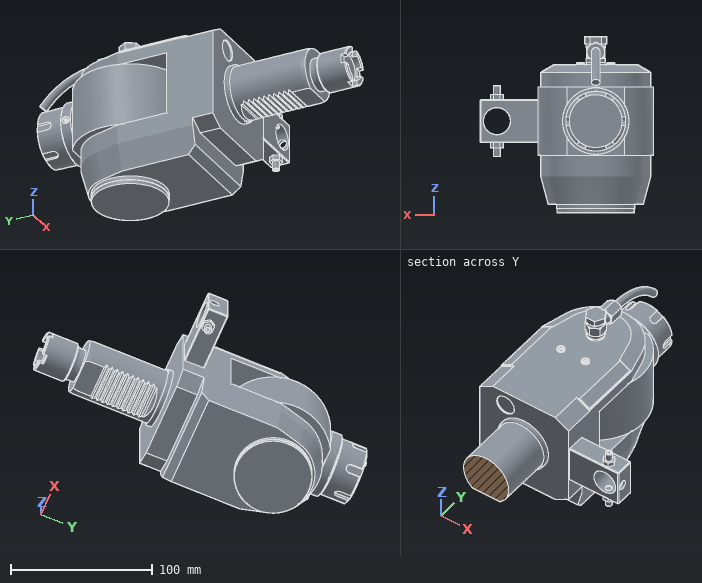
import cadquery as cq
import math


HALF_WIDTH = 39.0
TOP_Z = 40.0
PIVOT_Y = 86.0
NOSE_RADIUS = 35.0
TAPER_ANGLE = 15.0
BEVEL_ANGLE = 30.0
RIM_BEVEL_WIDTH = 9.8
STRIP_BEVEL_WIDTH = 9.1
STRIP_LEDGE_WIDTH = 0.6
STRIP_LEDGE_Z = 33.9
STRIP_START_Y = 26.0
STRIP_END_Y = 74.6
FRONT_BEVEL_WIDTH = 11.6
FRONT_BEVEL_LENGTH = 25.5
LOWER_START_Z = -39.3
LOWER_END_Z = -59.0
LOWER_FRONT_Y = 16.0
LOWER_CHAMFER = 6.0
WINDOW_FRONT_Y = 37.0
WINDOW_HALF_HEIGHT = 24.2
HEAD_RADIUS = 41.0
HEAD_REAR_Y = 121.5
PLUG_X = -16.3
PLUG_Z = 27.8
PLUG_RADIUS = 7.7
PLUG_RECESS = 1.0
CAP_RADIUS = 27.8
CAP_END_Z = -65.0
CAP_STEP_Z = -62.0
CAP_STEP = 0.3

SCREW_X = 10.75
SCREW_Y = 59.0
SCREW_RADIUS = 3.0
SCREW_HEIGHT = 1.6
SCREW_CHAMFER = 0.6
SCREW_SOCKET_FLATS = 2.5

FLANGE_RADIUS = 21.4
FLANGE_END_Y = -3.6
SHANK_RADIUS = 20.0
SHANK_END_Y = -63.4
SHANK_CHAMFER_LENGTH = 3.2
SHANK_CHAMFER_DEPTH = 0.6
NECK_RADIUS = 12.1
NECK_FLARE_Y = -67.0
NECK_FLARE_RADIUS = 12.9
DRIVE_START_Y = -69.8
DRIVE_END_Y = -93.0
DRIVE_RADIUS = 14.5
DRIVE_CHAMFER = 0.8
DRIVE_BORE_RADIUS = 10.2
DRIVE_BORE_DEPTH = 5.0
DRIVE_SLOT_WIDTH = 6.9
DRIVE_SLOT_DEPTH = 3.4
FLAT_Z = -16.0
FLAT_START_Y = -8.7
FLAT_RUNOUT_Y = -4.5
TOOTH_PITCH = 4.0
TOOTH_COUNT = 10
TOOTH_DEPTH = 1.5
FIRST_TOOTH_Y = -11.7

COLLAR_RADIUS = 23.5
COLLAR_END_Y = 129.3
GROOVE_RADIUS = 20.0
NUT_START_Y = 130.5
NUT_RADIUS = 21.2
NUT_END_Y = 150.5
NUT_CHAMFER_LENGTH = 1.3
NUT_CHAMFER_DEPTH = 2.5
NUT_SLOT_COUNT = 6
NUT_SLOT_WIDTH = 6.0
NUT_SLOT_END_Y = 138.2
NUT_SLOT_DEPTH = 2.5
SET_SCREW_Y = 125.4
SET_SCREW_RADIUS = 2.7
SET_SCREW_RECESS = 0.6
SET_SCREW_SOCKET_RADIUS = 1.2
SET_SCREW_SOCKET_DEPTH = 2.0

BRACKET_END_X = 82.0
BRACKET_FRONT_Y = 1.0
BRACKET_THICKNESS = 15.3
BRACKET_HALF_HEIGHT = 15.2
BRACKET_BORE_X = 70.0
BRACKET_BORE_RADIUS = 9.5
BRACKET_CROSS_RADIUS = 3.4
BRACKET_CHAMFER = 0.6
STUD_Y = 6.0
STUD_RADIUS = 2.5
STUD_END_Z = 25.1
STUD_NUT_FLATS = 8.0
STUD_NUT_HEIGHT = 3.7
STUD_SOCKET_FLATS = 2.5
STUD_SOCKET_DEPTH = 2.0
STUD_HOLE_END = 10.4

FITTING_TOP_Z = 59.9
FITTING_HEAD_Z = 54.7
FITTING_HEAD_FLATS = 13.6
FITTING_NECK_RADIUS = 6.9
FITTING_FOOT_RADIUS = 6.6
FITTING_FOOT_Z = 41.5
BANJO_FLATS = 13.4
BANJO_BOTTOM_Z = 44.4
BANJO_TOP_Z = 52.3
HEXAGON_CHAMFER = 0.8
PIPE_Z = 49.0
UNION_RADIUS = 5.2
UNION_START_Y = 96.8
UNION_END_Y = 109.1
UNION_FLATS = 12.2
PIPE_RADIUS = 3.1
PIPE_BEND_Y = 111.0
PIPE_BEND_ANGLE = 48.0
PIPE_TIP_LENGTH = 4.0
PIPE_TIP_Y = 157.67

MARGIN = 10.0
CLEARANCE = 1.0


def block(x_range, y_range, z_range):
    """Box given by its limits along each axis."""
    size = [limits[1] - limits[0] for limits in (x_range, y_range, z_range)]
    corner = (x_range[0], y_range[0], z_range[0])
    return cq.Workplane("XY").box(*size, centered=False).translate(corner)


def disc(radius, start, end, axis="Z", centre=(0.0, 0.0, 0.0)):
    """Cylinder along an axis, from start to end on that axis, through the centre point."""
    direction = cq.Vector(*[1.0 if name == axis else 0.0 for name in "XYZ"])
    base = cq.Vector(*centre) + direction * start
    return cq.Workplane(cq.Solid.makeCylinder(radius, end - start, base, direction))


def hexagon(flats, start, end, corner_angle):
    """Hexagonal prism along Z, with a corner at the given angle from X."""
    across_corners = flats / math.cos(math.radians(30))
    prism = cq.Workplane("XY").workplane(offset=start).polygon(6, across_corners).extrude(end - start)
    return prism.rotate((0, 0, 0), (0, 0, 1), corner_angle)


def chamfered_hexagon(flats, start, end, corner_angle):
    """Hexagonal prism along Z with its corners turned down at both ends."""
    envelope = disc(flats / 2 / math.cos(math.radians(30)), start, end)
    envelope = envelope.faces("<Z or >Z").chamfer(HEXAGON_CHAMFER)
    return hexagon(flats, start, end, corner_angle).intersect(envelope)


def turned(profile):
    """Solid turned about the Y axis from (radius, y) points; both ends close on the axis."""
    points = [(0.0, profile[0][1])] + profile + [(0.0, profile[-1][1])]
    return cq.Workplane("XY").polyline(points).close().revolve(360, (0, 0, 0), (0, 1, 0))


def housing_layer(start, height, taper):
    """Housing outline extruded from a height; the front is left long so it can be trimmed square."""
    angle = math.radians(TAPER_ANGLE)
    tangent_x = NOSE_RADIUS * math.cos(angle)
    tangent_y = PIVOT_Y + NOSE_RADIUS * math.sin(angle)
    shoulder_y = tangent_y - (HALF_WIDTH - tangent_x) / math.tan(angle)
    front_y = -3 * MARGIN
    return (
        cq.Workplane("XY")
        .workplane(offset=start)
        .moveTo(HALF_WIDTH, front_y)
        .lineTo(HALF_WIDTH, shoulder_y)
        .lineTo(tangent_x, tangent_y)
        .threePointArc((0, PIVOT_Y + NOSE_RADIUS), (-tangent_x, tangent_y))
        .lineTo(-HALF_WIDTH, shoulder_y)
        .lineTo(-HALF_WIDTH, front_y)
        .close()
        .extrude(height, taper=taper)
    )


def front_bevel(side, end, length):
    """Wedge removed from a front corner; side is the sign of X and end the sign of Z."""
    slope = math.tan(math.radians(BEVEL_ANGLE))
    inner_x = HALF_WIDTH - FRONT_BEVEL_WIDTH
    outer_x = HALF_WIDTH + MARGIN
    points = [
        (side * inner_x, end * TOP_Z),
        (side * outer_x, end * (TOP_Z - (outer_x - inner_x) * slope)),
        (side * outer_x, end * (TOP_Z + MARGIN)),
        (side * inner_x, end * (TOP_Z + MARGIN)),
    ]
    return cq.Workplane("XZ").polyline(points).close().extrude(-length)


def bevel_strip(side):
    """Raised bevel along one straight top edge; side is the sign of X."""
    slope = math.tan(math.radians(BEVEL_ANGLE))
    inner_x = HALF_WIDTH - STRIP_BEVEL_WIDTH
    outer_x = HALF_WIDTH - STRIP_LEDGE_WIDTH
    points = [
        (side * inner_x, TOP_Z),
        (side * outer_x, TOP_Z - (outer_x - inner_x) * slope),
        (side * outer_x, STRIP_LEDGE_Z),
        (side * (inner_x - MARGIN), STRIP_LEDGE_Z),
        (side * (inner_x - MARGIN), TOP_Z),
    ]
    profile = cq.Workplane("XZ", origin=(0, STRIP_START_Y, 0)).polyline(points).close()
    return profile.extrude(STRIP_START_Y - STRIP_END_Y)


def bevel_ledge(side):
    """Material removed outside a bevel strip, leaving a narrow flat ledge."""
    x_range = sorted((side * (HALF_WIDTH - STRIP_LEDGE_WIDTH), side * (HALF_WIDTH + MARGIN)))
    return block(x_range, (STRIP_START_Y, STRIP_END_Y), (STRIP_LEDGE_Z, TOP_Z))


def housing():
    """Forked housing with bevelled top, tapered lower block, round head and bottom cap."""
    reach = (-HALF_WIDTH - MARGIN, HALF_WIDTH + MARGIN)
    rim_height = RIM_BEVEL_WIDTH * math.tan(math.radians(BEVEL_ANGLE))
    rim_z = TOP_Z - rim_height

    upper = housing_layer(LOWER_START_Z, rim_z - LOWER_START_Z, 0)
    upper = upper.union(housing_layer(rim_z, rim_height, 90 - BEVEL_ANGLE))
    upper = upper.cut(block(reach, (-4 * MARGIN, 0), (-2 * TOP_Z, 2 * TOP_Z)))
    foot = block((-HALF_WIDTH, HALF_WIDTH), (0, LOWER_FRONT_Y), (-TOP_Z, LOWER_START_Z))

    lower = housing_layer(LOWER_START_Z, LOWER_END_Z - LOWER_START_Z, TAPER_ANGLE)
    lower = lower.cut(block(reach, (-4 * MARGIN, LOWER_FRONT_Y), (LOWER_END_Z - MARGIN, 0)))
    lower = lower.faces("<Y").edges("<Z").chamfer(LOWER_CHAMFER)

    body = upper.union(foot)
    for side in (-1, 1):
        body = body.cut(front_bevel(side, 1, FRONT_BEVEL_LENGTH))
        body = body.cut(front_bevel(side, -1, LOWER_FRONT_Y))
        body = body.cut(bevel_ledge(side)).union(bevel_strip(side))
    body = body.union(lower)

    window_z = (-WINDOW_HALF_HEIGHT, WINDOW_HALF_HEIGHT)
    body = body.cut(block(reach, (WINDOW_FRONT_Y, HEAD_REAR_Y + MARGIN), window_z))
    head = disc(HEAD_RADIUS, *window_z, centre=(0, PIVOT_Y, 0))
    head = head.cut(block(reach, (HEAD_REAR_Y, HEAD_REAR_Y + MARGIN), window_z))
    body = body.union(head)

    centre = (0, PIVOT_Y, 0)
    body = body.union(disc(CAP_RADIUS, CAP_STEP_Z, LOWER_END_Z, centre=centre))
    body = body.union(disc(CAP_RADIUS - CAP_STEP, CAP_END_Z, CAP_STEP_Z, centre=centre))
    return body.cut(disc(PLUG_RADIUS, 0, PLUG_RECESS, "Y", (PLUG_X, 0, PLUG_Z)))


def top_screw(x):
    """Low screw head with a hexagon socket standing on the top face."""
    head = disc(SCREW_RADIUS, 0, SCREW_HEIGHT).faces(">Z").chamfer(SCREW_CHAMFER)
    socket = hexagon(SCREW_SOCKET_FLATS, 0, SCREW_HEIGHT, 0)
    return head.cut(socket).translate((x, SCREW_Y, TOP_Z))


def shank():
    """Flanged round shank with a toothed flat underneath and a slotted drive end."""
    body = turned([
        (SHANK_RADIUS, 0),
        (SHANK_RADIUS, SHANK_END_Y + SHANK_CHAMFER_LENGTH),
        (SHANK_RADIUS - SHANK_CHAMFER_DEPTH, SHANK_END_Y),
        (NECK_RADIUS, SHANK_END_Y),
        (NECK_RADIUS, NECK_FLARE_Y),
        (NECK_FLARE_RADIUS, DRIVE_START_Y),
        (DRIVE_RADIUS - DRIVE_CHAMFER, DRIVE_START_Y),
        (DRIVE_RADIUS, DRIVE_START_Y - DRIVE_CHAMFER),
        (DRIVE_RADIUS, DRIVE_END_Y + DRIVE_CHAMFER),
        (DRIVE_RADIUS - DRIVE_CHAMFER, DRIVE_END_Y),
    ])
    flange = disc(FLANGE_RADIUS, FLANGE_END_Y, 0, "Y")
    body = body.union(flange.faces("<Y").edges().fillet(FLANGE_RADIUS - SHANK_RADIUS))
    relief = [
        (FLAT_RUNOUT_Y, -FLANGE_RADIUS - CLEARANCE),
        (FLAT_START_Y, FLAT_Z),
        (SHANK_END_Y - CLEARANCE, FLAT_Z),
        (SHANK_END_Y - CLEARANCE, -FLANGE_RADIUS - CLEARANCE),
    ]
    body = body.cut(cq.Workplane("YZ").polyline(relief).close().extrude(FLANGE_RADIUS, both=True))
    for index in range(TOOTH_COUNT):
        body = body.cut(tooth_gap(FIRST_TOOTH_Y - index * TOOTH_PITCH))

    bore_end_y = DRIVE_END_Y + DRIVE_BORE_DEPTH
    body = body.cut(disc(DRIVE_BORE_RADIUS, DRIVE_END_Y, bore_end_y, "Y"))
    slot_y = (DRIVE_END_Y, DRIVE_END_Y + DRIVE_SLOT_DEPTH)
    half_slot = DRIVE_SLOT_WIDTH / 2
    slot = block((-DRIVE_RADIUS, DRIVE_RADIUS), slot_y, (-half_slot, half_slot))
    for angle in (0, 90):
        body = body.cut(slot.rotate((0, 0, 0), (0, 1, 0), angle))
    return body


def tooth_gap(y):
    """Right-angled V gap across the shank flat, centred at y."""
    points = [(y - TOOTH_DEPTH, FLAT_Z), (y, FLAT_Z + TOOTH_DEPTH), (y + TOOTH_DEPTH, FLAT_Z)]
    return cq.Workplane("YZ").polyline(points).close().extrude(SHANK_RADIUS, both=True)


def nut_slot():
    """Round-ended wrench slot on the +X side of the clamping nut."""
    half_width = NUT_SLOT_WIDTH / 2
    inner_x = NUT_RADIUS - NUT_SLOT_DEPTH
    outer_x = NUT_RADIUS + CLEARANCE
    round_y = NUT_SLOT_END_Y + half_width
    straight = block((inner_x, outer_x), (round_y, NUT_END_Y + CLEARANCE), (-half_width, half_width))
    return straight.union(disc(half_width, inner_x, outer_x, "X", (0, round_y, 0)))


def spindle_nose():
    """Collar and slotted clamping nut at the rear, with a set screw on the -X side of the collar."""
    body = turned([
        (COLLAR_RADIUS, HEAD_REAR_Y),
        (COLLAR_RADIUS, COLLAR_END_Y),
        (GROOVE_RADIUS, COLLAR_END_Y),
        (GROOVE_RADIUS, NUT_START_Y),
        (NUT_RADIUS, NUT_START_Y),
        (NUT_RADIUS, NUT_END_Y - NUT_CHAMFER_LENGTH),
        (NUT_RADIUS - NUT_CHAMFER_DEPTH, NUT_END_Y),
    ])
    for index in range(NUT_SLOT_COUNT):
        body = body.cut(nut_slot().rotate((0, 0, 0), (0, 1, 0), index * 360 / NUT_SLOT_COUNT))

    centre = (0, SET_SCREW_Y, 0)
    outside_x = -COLLAR_RADIUS - CLEARANCE
    body = body.cut(disc(SET_SCREW_RADIUS, outside_x, -COLLAR_RADIUS + SET_SCREW_RECESS, "X", centre))
    socket_x = -COLLAR_RADIUS + SET_SCREW_SOCKET_DEPTH
    return body.cut(disc(SET_SCREW_SOCKET_RADIUS, outside_x, socket_x, "X", centre))


def bracket():
    """Side arm with a cross bore, clamped by a nutted stud from above and from below."""
    y_range = (BRACKET_FRONT_Y, BRACKET_FRONT_Y + BRACKET_THICKNESS)
    height = (-BRACKET_HALF_HEIGHT, BRACKET_HALF_HEIGHT)
    arm = block((HALF_WIDTH, BRACKET_END_X), y_range, height)
    arm = arm.edges("|X or >X").chamfer(BRACKET_CHAMFER)
    arm = arm.cut(disc(BRACKET_BORE_RADIUS, *y_range, "Y", (BRACKET_BORE_X, 0, 0)))
    arm = arm.cut(disc(BRACKET_CROSS_RADIUS, BRACKET_BORE_X, BRACKET_END_X, "X", (0, STUD_Y, 0)))
    hole_centre = (BRACKET_BORE_X, STUD_Y, 0)
    arm = arm.cut(disc(STUD_RADIUS, -STUD_HOLE_END, STUD_HOLE_END, centre=hole_centre))

    stud = disc(STUD_RADIUS, BRACKET_HALF_HEIGHT, STUD_END_Z)
    nut_top_z = BRACKET_HALF_HEIGHT + STUD_NUT_HEIGHT
    stud = stud.union(hexagon(STUD_NUT_FLATS, BRACKET_HALF_HEIGHT, nut_top_z, 0))
    stud = stud.cut(hexagon(STUD_SOCKET_FLATS, STUD_END_Z - STUD_SOCKET_DEPTH, STUD_END_Z, 0))
    for side in (stud, stud.mirror("XY")):
        arm = arm.union(side.translate(hole_centre))
    return arm


def coolant_fitting():
    """Banjo bolt and hexagonal banjo body standing on the housing."""
    fitting = disc(FITTING_FOOT_RADIUS, TOP_Z, FITTING_FOOT_Z)
    fitting = fitting.union(disc(FITTING_NECK_RADIUS, FITTING_FOOT_Z, BANJO_BOTTOM_Z))
    fitting = fitting.union(disc(FITTING_NECK_RADIUS, BANJO_TOP_Z, FITTING_HEAD_Z))
    fitting = fitting.union(hexagon(FITTING_HEAD_FLATS, FITTING_HEAD_Z, FITTING_TOP_Z, 0))
    fitting = fitting.union(chamfered_hexagon(BANJO_FLATS, BANJO_BOTTOM_Z, BANJO_TOP_Z, 90))
    return fitting.translate((0, PIVOT_Y, 0))


def coolant_pipe():
    """Union nut and a pipe that bends down over the spindle nose."""
    union_length = UNION_END_Y - UNION_START_Y
    nut = chamfered_hexagon(UNION_FLATS, 0, union_length, 90).rotate((0, 0, 0), (1, 0, 0), -90)
    nut = nut.translate((0, UNION_START_Y, PIPE_Z))
    stem = disc(UNION_RADIUS, PIVOT_Y, UNION_START_Y, "Y", (0, 0, PIPE_Z))

    straight = disc(PIPE_RADIUS, UNION_END_Y, PIPE_BEND_Y, "Y", (0, 0, PIPE_Z))
    angle = math.radians(PIPE_BEND_ANGLE)
    direction = cq.Vector(0, math.cos(angle), -math.sin(angle))
    tip_reach = PIPE_TIP_LENGTH * direction.y + PIPE_RADIUS * math.sin(angle)
    bend_radius = (PIPE_TIP_Y - PIPE_BEND_Y - tip_reach) / math.sin(angle)
    bend = (
        cq.Workplane("XZ", origin=(0, PIPE_BEND_Y, PIPE_Z))
        .circle(PIPE_RADIUS)
        .revolve(PIPE_BEND_ANGLE, (0, -bend_radius, 0), (-1, -bend_radius, 0))
    )
    bend_end_y = PIPE_BEND_Y + bend_radius * math.sin(angle)
    bend_end_z = PIPE_Z - bend_radius * (1 - math.cos(angle))
    bend_end = cq.Vector(0, bend_end_y, bend_end_z)
    tip = cq.Workplane(cq.Solid.makeCylinder(PIPE_RADIUS, PIPE_TIP_LENGTH, bend_end, direction))
    return stem.union(nut).union(straight).union(bend).union(tip)


result = housing()
for part in (shank(), spindle_nose(), bracket(), coolant_fitting(), coolant_pipe()):
    result = result.union(part)
for screw_x in (-SCREW_X, SCREW_X):
    result = result.union(top_screw(screw_x))